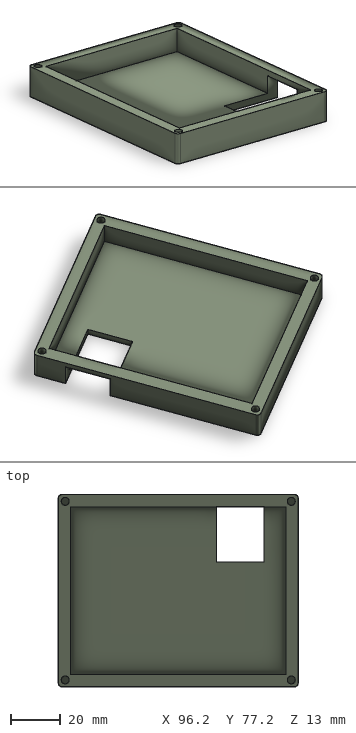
import cadquery as cq

length = 96.2
width = 77.2
height = 13.0
corner_radius = 1.5
wall = 5.0
floor_thickness = 3.0

hole_diameter = 3.2
hole_depth = 10.0
hole_inset = 2.8

opening_width = 19.0
opening_reach = 22.0
opening_height = 10.5
opening_gap = 8.8


def make_tray():
    """Open-topped rectangular tray with rounded vertical corners."""
    body = cq.Workplane("XY").box(length, width, height, centered=(True, True, False))
    body = body.edges("|Z").fillet(corner_radius)
    cavity = (
        cq.Workplane("XY")
        .workplane(offset=floor_thickness)
        .rect(length - 2 * wall, width - 2 * wall)
        .extrude(height - floor_thickness)
    )
    return body.cut(cavity)


def make_opening():
    """Block that removes part of the floor and the +Y wall, leaving a bridge along the rim."""
    right = length / 2 - wall - opening_gap
    front = width / 2 - wall - opening_reach
    return cq.Workplane("XY").box(
        opening_width, opening_reach + wall, opening_height, centered=False
    ).translate((right - opening_width, front, 0))


def make_holes():
    """Four blind holes going down from the rim, one at each corner."""
    return (
        cq.Workplane("XY")
        .workplane(offset=height - hole_depth)
        .rect(length - 2 * hole_inset, width - 2 * hole_inset, forConstruction=True)
        .vertices()
        .circle(hole_diameter / 2)
        .extrude(hole_depth)
    )


result = make_tray().cut(make_opening()).cut(make_holes())